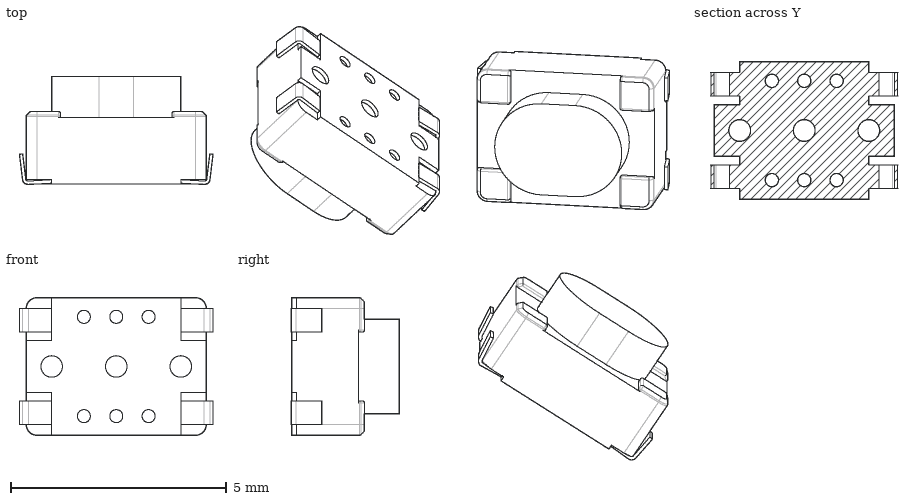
import cadquery as cq
import math

housing_width = 4.185
housing_height = 3.2
corner_radius = 0.25
housing_depth = 1.69
back_chamfer = 0.1
edge_round = 0.05

recess_floor = 1.552
recess_half_width = 1.295
recess_half_height = 0.795

button_width = 3.0
button_height = 2.2
button_end = 2.5

hole_depth = 0.1
large_diameter = 0.5
large_spacing = 1.5
small_diameter = 0.3
small_spacing = 0.75
small_row_offset = 1.15

pocket_depth = 0.112
pocket_inner_x = 1.5
pocket_inner_z = 0.6

strip_thickness = 0.08
strip_width = 0.55
strip_center_z = housing_height / 2 - corner_radius - strip_width / 2
overall_width = 4.5
bend_inner_radius = 0.05
foot_angle = 3.5
arm_angle = 7.0
foot_drop = 0.01
arm_end = 0.705

margin = 0.0005


def block(x0, x1, y0, y1, z0, z1):
    """Axis-aligned box between two opposite corners."""
    return cq.Workplane("XY").box(x1 - x0, y1 - y0, z1 - z0, centered=False).translate((x0, y0, z0))


def along_y(start):
    """Workplane at Y = start whose extrusions run toward +Y; local y is -Z."""
    return cq.Workplane("XZ", origin=(0, start, 0))


def make_housing():
    """Rounded block with a chamfered back edge and softened chamfer-to-side edge."""
    body = along_y(0).rect(housing_width, housing_height).extrude(-housing_depth)
    body = body.edges("|Y").fillet(corner_radius)
    body = body.faces(">Y").chamfer(back_chamfer)
    chamfer_start = housing_depth - back_chamfer
    rim = cq.selectors.BoxSelector(
        (-housing_width, chamfer_start - margin, -housing_height),
        (housing_width, chamfer_start + margin, housing_height),
    )
    return body.edges(rim).fillet(edge_round)


def cut_recess(body):
    """Cut the cross and round the edges of the four pads it leaves, except along the recess floor."""
    wide = along_y(recess_floor).rect(2 * housing_width, 2 * recess_half_height)
    tall = along_y(recess_floor).rect(2 * recess_half_width, 2 * housing_height)
    recess_depth = housing_depth - recess_floor
    body = body.cut(wide.extrude(-recess_depth)).cut(tall.extrude(-recess_depth))
    rounded_edges = []
    for edge in body.edges().vals():
        box = edge.BoundingBox()
        above_floor = box.ymin > recess_floor - margin and box.ymax > recess_floor + margin
        on_side_wall = box.xlen < margin and abs(abs(box.xmin) - recess_half_width) < margin
        on_end_wall = box.zlen < margin and abs(abs(box.zmin) - recess_half_height) < margin
        if above_floor and (on_side_wall or on_end_wall):
            rounded_edges.append(edge)
    return body.newObject(rounded_edges).fillet(edge_round)


def make_button():
    return along_y(recess_floor).slot2D(button_width, button_height).extrude(recess_floor - button_end)


def make_holes():
    large = along_y(0).pushPoints([(i * large_spacing, 0) for i in (-1, 0, 1)])
    large = large.circle(large_diameter / 2).extrude(-hole_depth)
    small_centers = [(i * small_spacing, j * small_row_offset) for i in (-1, 0, 1) for j in (-1, 1)]
    small = along_y(0).pushPoints(small_centers).circle(small_diameter / 2).extrude(-hole_depth)
    return large.union(small)


def make_pocket():
    """Pocket cutter for the +X, +Z corner."""
    return block(pocket_inner_x, housing_width, 0, pocket_depth, pocket_inner_z, housing_height)


def make_terminal():
    """Terminal for the +X, +Z corner: sloping foot, bend, and outward leaning arm."""
    outer_radius = bend_inner_radius + strip_thickness
    foot = math.radians(foot_angle)
    arm = math.radians(arm_angle)
    bend_y = outer_radius - foot_drop
    tip_x = overall_width / 2
    tip_y = arm_end - strip_thickness * math.sin(arm)
    bend_x = tip_x - (tip_y - bend_y) * math.tan(arm) - outer_radius / math.cos(arm)

    def on_bend(radius, angle):
        return (bend_x + radius * math.cos(angle), bend_y + radius * math.sin(angle))

    foot_dir = -math.pi / 2 - foot
    arm_dir = -arm
    middle_dir = (foot_dir + arm_dir) / 2

    def foot_end(radius):
        start_x, start_y = on_bend(radius, foot_dir)
        return (pocket_inner_x, start_y + (start_x - pocket_inner_x) * math.tan(foot))

    outer_tip = (tip_x, tip_y)
    inner_tip = (tip_x - strip_thickness * math.cos(arm), tip_y + strip_thickness * math.sin(arm))
    profile = (
        cq.Workplane("XY", origin=(0, 0, strip_center_z))
        .moveTo(*foot_end(outer_radius))
        .lineTo(*on_bend(outer_radius, foot_dir))
        .threePointArc(on_bend(outer_radius, middle_dir), on_bend(outer_radius, arm_dir))
        .lineTo(*outer_tip)
        .lineTo(*inner_tip)
        .lineTo(*on_bend(bend_inner_radius, arm_dir))
        .threePointArc(on_bend(bend_inner_radius, middle_dir), on_bend(bend_inner_radius, foot_dir))
        .lineTo(*foot_end(bend_inner_radius))
        .close()
    )
    return profile.extrude(strip_width / 2, both=True)


def at_four_corners(shape):
    """The shape and its mirror images in the X = 0 and Z = 0 planes."""
    pair = shape.union(shape.mirror("YZ"))
    return pair.union(pair.mirror("XY"))


housing = cut_recess(make_housing())
housing = housing.cut(make_holes()).cut(at_four_corners(make_pocket()))
result = housing.union(make_button()).union(at_four_corners(make_terminal()))